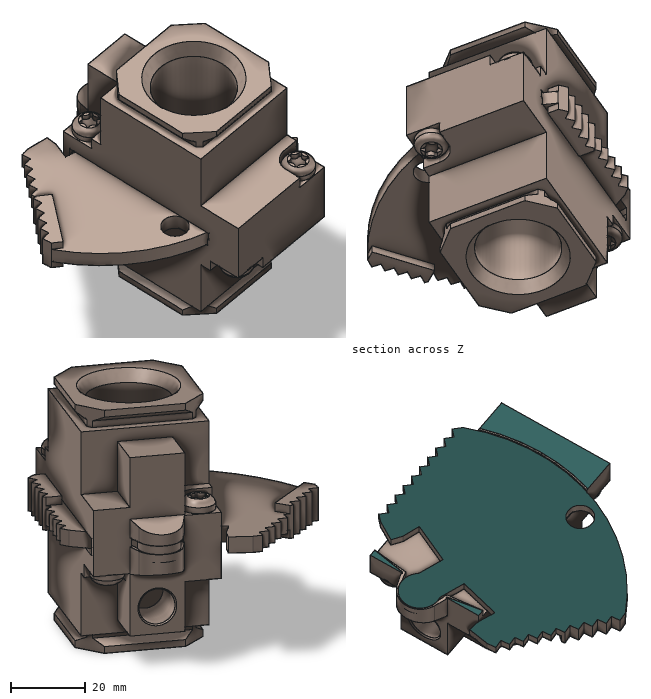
import cadquery as cq
import math

body_side = 35.6
body_half_height = 29.2
flange_half_height = 34.81
flange_corner_cut = 6.5
flange_neck_half = 15.2
flange_neck_end = 31.1
flange_rim_start = 32.85
bore_diameter = 23.5
bore_mouth_diameter = 28.1
bore_mouth_depth = 3.44

wing_half_length = 31.1
wing_half_height = 11.3
rib_half_width = 7.65
rib_half_height = 25.55
side_hole_diameter = 10.0
side_hole_mouth_diameter = 10.8
side_hole_mouth_depth = 0.4
side_hole_z = -17.85

pivot_x = -33.2
nose_tip_x = -39.4
nose_radius = 6.5
nose_root_half_width = 7.56
nose_tip_half_height = 5.7
nose_root_half_height = 7.9

screw_x = 26.2
screw_y = 12.7
pocket_radius = 5.05
pocket_floor_z = 7.65
head_diameter = 9.35
head_rim_height = 1.7
head_height = 3.6
head_top_diameter = 5.9
head_dome_bulge = 0.3
socket_diameter = 5.6
socket_depth = 1.6
socket_lobes = 6
socket_flute_radius = 1.4
socket_flute_centre = 3.4

gate_half_thickness = 2.33
gate_radius = 55.95
gate_hub_radius = 5.9
neck_half_width = 5.0
hook_end = (9.5, 16.1)
hook_shoulder = (12.35, 14.1)
notch_corner = (17.5, 12.35)
neck_start = (12.1, 0.9)
gate_travel = 40.1
tooth_count = 10
tooth_pitch = 3.852
tooth_depth = tooth_pitch / 2
first_tip = 14.8
tip_height = 23.78
pad_start = 33.3
pad_end = 51.5
pad_inner_height = 18.55
pad_half_thickness = 4.73
lock_hole_diameter = 7.65
lock_hole_radius = 49.8
lock_hole_angle = -25.5

slot_upper_z = 2.55
slot_upper_radius = 56.65
slot_lower_radius = 56.18
slot_upper_root = (-30.7, 7.4)
slot_lower_root = (-30.2, 6.7)
slot_mouth_x = -28.9

body_half = body_side / 2
gate_axis_angle = -gate_travel / 2

screw_turns = [
    (0, (0, 0, 1)),
    (180, (0, 0, 1)),
    (180, (1, 0, 0)),
    (180, (0, 1, 0)),
]


def on_circle(radius, degrees):
    """Point on a circle around the origin."""
    angle = math.radians(degrees)
    return (radius * math.cos(angle), radius * math.sin(angle))


def block(x_range, y_range, z_range):
    """Axis-aligned block between the given limits."""
    size = [high - low for low, high in (x_range, y_range, z_range)]
    centre = [(high + low) / 2 for low, high in (x_range, y_range, z_range)]
    return cq.Workplane("XY").box(*size).translate(tuple(centre))


def symmetric_block(half_x, half_y, half_z):
    return cq.Workplane("XY").box(2 * half_x, 2 * half_y, 2 * half_z)


def upper_flange():
    """Square flange on an undercut neck, with its four corners cut flat."""
    neck = block((-flange_neck_half, flange_neck_half), (-flange_neck_half, flange_neck_half),
                 (body_half_height, flange_neck_end))
    flare = (cq.Workplane("XY").workplane(offset=flange_neck_end)
             .rect(2 * flange_neck_half, 2 * flange_neck_half)
             .workplane(offset=flange_rim_start - flange_neck_end)
             .rect(body_side, body_side).loft(ruled=True))
    rim = block((-body_half, body_half), (-body_half, body_half),
                (flange_rim_start, flange_half_height))
    envelope = (cq.Workplane("XY").rect(body_side, body_side).extrude(flange_half_height)
                .edges("|Z").chamfer(flange_corner_cut))
    return neck.union(flare).union(rim).intersect(envelope)


def bore():
    """Through bore with a conical mouth at both ends."""
    radius = bore_diameter / 2
    mouth_radius = bore_mouth_diameter / 2
    mouth_z = flange_half_height - bore_mouth_depth
    outline = (cq.Workplane("XZ").moveTo(0, -flange_half_height)
               .lineTo(mouth_radius, -flange_half_height).lineTo(radius, -mouth_z)
               .lineTo(radius, mouth_z).lineTo(mouth_radius, flange_half_height)
               .lineTo(0, flange_half_height).close())
    return outline.revolve(360, (0, 0, 0), (0, 1, 0))


def nose():
    """Rounded nose around the pivot, lower at its tip than at its root."""
    centre_x = nose_tip_x + nose_radius
    root_x = -wing_half_length
    root_dx = root_x - centre_x
    root_distance = math.hypot(root_dx, nose_root_half_width)
    root_angle = math.degrees(math.atan2(nose_root_half_width, root_dx))
    tangent_angle = root_angle + math.degrees(math.acos(nose_radius / root_distance))
    dx, dy = on_circle(nose_radius, tangent_angle)
    plan = (cq.Workplane("XY").workplane(offset=-nose_root_half_height)
            .moveTo(0, -nose_root_half_width)
            .lineTo(root_x, -nose_root_half_width).lineTo(centre_x + dx, -dy)
            .threePointArc((nose_tip_x, 0), (centre_x + dx, dy))
            .lineTo(root_x, nose_root_half_width).lineTo(0, nose_root_half_width).close()
            .extrude(2 * nose_root_half_height))
    side = (cq.Workplane("XZ")
            .polyline([(-body_half, -nose_root_half_height), (root_x, -nose_root_half_height),
                       (nose_tip_x, -nose_tip_half_height), (nose_tip_x, nose_tip_half_height),
                       (root_x, nose_root_half_height), (-body_half, nose_root_half_height)])
            .close().extrude(body_half, both=True))
    return plan.intersect(side)


def side_hole():
    """Blind hole in the rib, with a countersunk mouth, as deep as the wing is long."""
    hole_plane = cq.Workplane("YZ", origin=(-wing_half_length, 0, side_hole_z))
    hole = hole_plane.circle(side_hole_diameter / 2).extrude(wing_half_length - body_half)
    mouth = (hole_plane.circle(side_hole_mouth_diameter / 2)
             .workplane(offset=side_hole_mouth_depth).circle(side_hole_diameter / 2).loft())
    return hole.union(mouth)


def screw_pocket():
    """Open pocket for the screw head at the -X, -Y corner of the upper wing face."""
    inner_x = -screw_x + pocket_radius
    inner_y = -screw_y + pocket_radius
    pocket = block((-wing_half_length, inner_x), (-body_half, inner_y),
                   (pocket_floor_z, wing_half_height))
    return pocket.edges("|Z and >X and >Y").fillet(pocket_radius)


def slot_half(reach, root, bottom, top):
    """Slot around the hub that widens through the body to an arc around the pivot."""
    root_x, root_half_width = root
    end_dx = math.sqrt(reach ** 2 - body_half ** 2)
    outline = (cq.Workplane("XY").workplane(offset=bottom)
               .moveTo(pivot_x, -gate_hub_radius)
               .threePointArc((pivot_x - gate_hub_radius, 0), (pivot_x, gate_hub_radius))
               .lineTo(root_x, root_half_width).lineTo(slot_mouth_x, body_half)
               .lineTo(pivot_x + end_dx, body_half)
               .threePointArc((pivot_x + reach, 0), (pivot_x + end_dx, -body_half))
               .lineTo(slot_mouth_x, -body_half).lineTo(root_x, -root_half_width).close())
    return outline.extrude(top - bottom)


def make_housing():
    body = symmetric_block(body_half, body_half, body_half_height)
    wings = symmetric_block(wing_half_length, body_half, wing_half_height)
    rib = block((-wing_half_length, 0), (-rib_half_width, rib_half_width),
                (-rib_half_height, rib_half_height))
    flange = upper_flange()
    housing = body.union(wings).union(rib).union(nose())
    housing = housing.union(flange).union(flange.mirror("XY"))
    housing = housing.cut(bore()).cut(side_hole())
    for angle, axis in screw_turns:
        housing = housing.cut(screw_pocket().rotate((0, 0, 0), axis, angle))
    housing = housing.cut(slot_half(slot_lower_radius, slot_lower_root, -gate_half_thickness, 0))
    housing = housing.cut(slot_half(slot_upper_radius, slot_upper_root, 0, slot_upper_z))
    nose_groove = block((nose_tip_x, -wing_half_length),
                        (-body_half, body_half), (0, slot_upper_z))
    return housing.cut(nose_groove)


def make_screw():
    """Domed screw head with a six-lobed socket, seated on its pocket floor."""
    rim_radius = head_diameter / 2
    top_radius = head_top_diameter / 2
    head = (cq.Workplane("XZ").lineTo(rim_radius, 0).lineTo(rim_radius, head_rim_height)
            .sagittaArc((top_radius, head_height), -head_dome_bulge)
            .lineTo(0, head_height).close().revolve(360, (0, 0, 0), (0, 1, 0)))
    socket_plane = cq.Workplane("XY").workplane(offset=head_height - socket_depth)
    socket = socket_plane.circle(socket_diameter / 2).extrude(socket_depth)
    flutes = (socket_plane
              .polarArray(socket_flute_centre, 180 / socket_lobes, 360, socket_lobes)
              .circle(socket_flute_radius).extrude(socket_depth))
    return head.cut(socket.cut(flutes)).translate((-screw_x, -screw_y, pocket_floor_z))


def tooth_row():
    """Points of the toothed edge, from the outer arc back to the first tooth."""
    last_tip = first_tip + (tooth_count - 1) * tooth_pitch
    flank_sum = last_tip + tip_height
    half_gap = math.sqrt(gate_radius ** 2 / 2 - (flank_sum / 2) ** 2)
    points = [(flank_sum / 2 + half_gap, flank_sum / 2 - half_gap)]
    for index in reversed(range(tooth_count)):
        tip = first_tip + index * tooth_pitch
        points.append((tip, tip_height))
        points.append((tip - tooth_depth, tip_height - tooth_depth))
    return points


def turned(point, degrees):
    """Point turned around the origin."""
    radius = math.hypot(*point)
    return on_circle(radius, math.degrees(math.atan2(point[1], point[0])) + degrees)


def gate_side():
    """Straight-sided stretch of the gate, from the outer arc to the hub, mirror axis along X."""
    points = tooth_row() + [hook_end, hook_shoulder, notch_corner, neck_start]
    neck_angle = math.degrees(math.asin(neck_half_width / gate_hub_radius))
    side = [turned(point, -gate_axis_angle) for point in points]
    side.append(on_circle(gate_hub_radius, neck_angle))
    return side


def make_gate():
    """Mirror-symmetric gate with two toothed edges, two grip pads and one locking hole."""
    side = gate_side()
    other_side = [(x, -y) for x, y in reversed(side)]
    outline = (cq.Workplane("XY").polyline(side)
               .threePointArc((-gate_hub_radius, 0), other_side[0]))
    for point in other_side[1:]:
        outline = outline.lineTo(*point)
    outline = outline.threePointArc((gate_radius, 0), side[0]).close()
    thick_gate = outline.extrude(pad_half_thickness, both=True)

    plate = symmetric_block(2 * gate_radius, 2 * gate_radius, gate_half_thickness)
    pad = block((pad_start, pad_end), (pad_inner_height, tip_height),
                (-pad_half_thickness, pad_half_thickness))
    pad = pad.rotate((0, 0, 0), (0, 0, 1), -gate_axis_angle)
    gate = thick_gate.intersect(plate.union(pad).union(pad.mirror("XZ")))

    gate = gate.rotate((0, 0, 0), (0, 0, 1), gate_axis_angle)
    hole = (cq.Workplane("XY").center(*on_circle(lock_hole_radius, lock_hole_angle))
            .circle(lock_hole_diameter / 2).extrude(gate_half_thickness, both=True))
    return gate.cut(hole).translate((pivot_x, 0, 0))


housing = make_housing()
gate = make_gate()
screws = [make_screw().rotate((0, 0, 0), axis, angle) for angle, axis in screw_turns]

result = cq.Compound.makeCompound([
    housing.val(),
    gate.val(),
    *[screw.solids().val() for screw in screws],
])